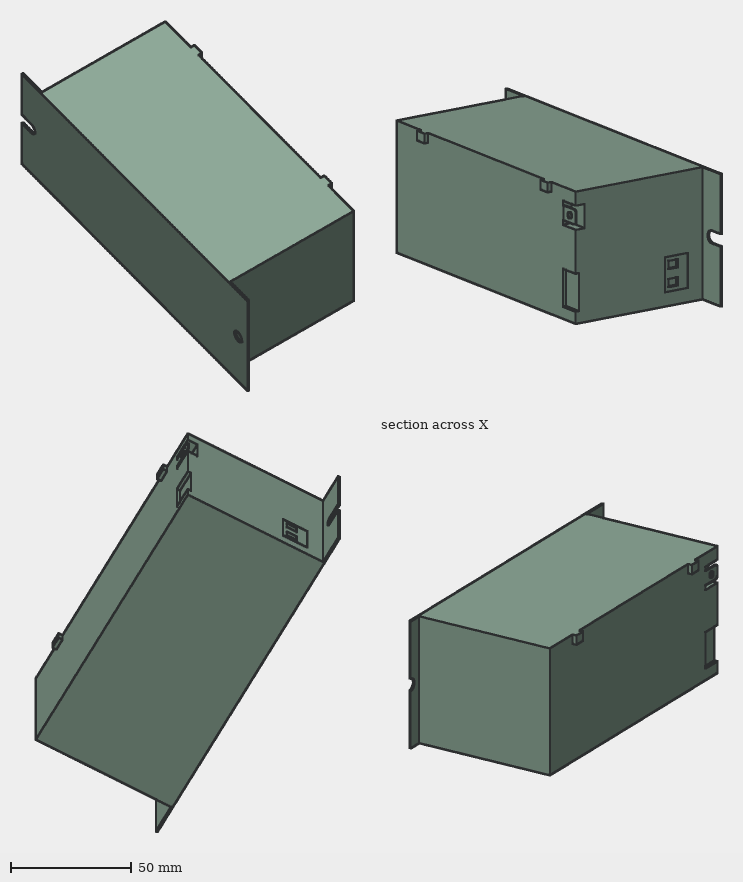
import cadquery as cq

PANEL_WIDTH = 156.0
HEIGHT = 57.3
PANEL_THICKNESS = 0.8
MOUNT_DIAMETER = 5.5
MOUNT_INSET = 6.5

BODY_WIDTH = 130.1
TOTAL_DEPTH = 67.0
LUG_LENGTH = 1.9
BODY_DEPTH = TOTAL_DEPTH - LUG_LENGTH

LUG_WIDTH = 5.3
LUG_HEIGHT = 4.2
LUG_SPACING = 89.5

CUTOUT_REACH = 9.4
NOTCH_DEPTH = 4.5
NOTCH_HEIGHT = 10.5
NOTCH_TOP_DROP = 6.1
SLOT_DEPTH = 1.5
SLOT_HEIGHT = 16.4
SLOT_BOTTOM = 5.3

TONGUE_THICKNESS = 0.5
TONGUE_HEIGHT = 6.5
TONGUE_CORNER_RADIUS = 1.5
TONGUE_HOLE_DIAMETER = 2.8
TONGUE_HOLE_INSET = 4.5

TERMINAL_FRONT = 8.3
TERMINAL_BOTTOM = 6.2
TERMINAL_LENGTH = 11.5
TERMINAL_HEIGHT = 15.1
TERMINAL_RECESS = 0.08
POCKET_LENGTH = 4.8
POCKET_HEIGHT = 3.6
POCKET_MARGIN = 1.9
POCKET_DEPTH = 1.5

LEFT = -BODY_WIDTH / 2


def block(x, y, z, dx, dy, dz):
    """Box with its lowest corner at (x, y, z)."""
    return cq.Workplane("XY").box(dx, dy, dz, centered=False).translate((x, y, z))


def cylinder_along_y(x, z, diameter, start, length):
    """Cylinder running toward +Y from Y = start."""
    disc = cq.Workplane("XZ", origin=(x, start, z)).circle(diameter / 2)
    return disc.extrude(-length)


def front_panel():
    """Panel with an open-ended mounting slot at left and a round hole at right."""
    panel = block(-PANEL_WIDTH / 2, 0, 0, PANEL_WIDTH, PANEL_THICKNESS, HEIGHT)
    mid_height = HEIGHT / 2
    mount_x = PANEL_WIDTH / 2 - MOUNT_INSET
    for x in (-mount_x, mount_x):
        panel = panel.cut(cylinder_along_y(x, mid_height, MOUNT_DIAMETER, 0, PANEL_THICKNESS))
    slot_mouth = block(
        -PANEL_WIDTH / 2, 0, mid_height - MOUNT_DIAMETER / 2,
        MOUNT_INSET, PANEL_THICKNESS, MOUNT_DIAMETER,
    )
    return panel.cut(slot_mouth)


def rear_lug(center_x):
    return block(
        center_x - LUG_WIDTH / 2, BODY_DEPTH, HEIGHT - LUG_HEIGHT,
        LUG_WIDTH, LUG_LENGTH, LUG_HEIGHT,
    )


def rear_cutout(bottom, depth, height):
    """Cutout through the corner of the left side and the rear face."""
    return block(LEFT, BODY_DEPTH - depth, bottom, CUTOUT_REACH, depth, height)


def tongue(center_z):
    """Tongue from the inner end of the notch out to the left side."""
    plate = block(
        LEFT, BODY_DEPTH - TONGUE_THICKNESS, center_z - TONGUE_HEIGHT / 2,
        CUTOUT_REACH, TONGUE_THICKNESS, TONGUE_HEIGHT,
    )
    plate = plate.faces("<X").edges("|Y").fillet(TONGUE_CORNER_RADIUS)
    hole = cylinder_along_y(
        LEFT + TONGUE_HOLE_INSET, center_z, TONGUE_HOLE_DIAMETER,
        BODY_DEPTH - TONGUE_THICKNESS, TONGUE_THICKNESS,
    )
    return plate.cut(hole)


def terminal_recesses():
    """Shallow outline of the terminal block with two wire pockets."""
    recess = block(
        LEFT, TERMINAL_FRONT, TERMINAL_BOTTOM,
        TERMINAL_RECESS, TERMINAL_LENGTH, TERMINAL_HEIGHT,
    )
    pocket_y = TERMINAL_FRONT + TERMINAL_LENGTH - POCKET_MARGIN - POCKET_LENGTH
    lower_z = TERMINAL_BOTTOM + POCKET_MARGIN
    upper_z = TERMINAL_BOTTOM + TERMINAL_HEIGHT - POCKET_MARGIN - POCKET_HEIGHT
    for z in (lower_z, upper_z):
        recess = recess.union(block(LEFT, pocket_y, z, POCKET_DEPTH, POCKET_LENGTH, POCKET_HEIGHT))
    return recess


enclosure = block(LEFT, 0, 0, BODY_WIDTH, BODY_DEPTH, HEIGHT)
result = front_panel().union(enclosure)

for lug_x in (-LUG_SPACING / 2, LUG_SPACING / 2):
    result = result.union(rear_lug(lug_x))

notch_bottom = HEIGHT - NOTCH_TOP_DROP - NOTCH_HEIGHT
result = result.cut(rear_cutout(notch_bottom, NOTCH_DEPTH, NOTCH_HEIGHT))
result = result.cut(rear_cutout(SLOT_BOTTOM, SLOT_DEPTH, SLOT_HEIGHT))
result = result.union(tongue(notch_bottom + NOTCH_HEIGHT / 2))

result = result.cut(terminal_recesses())